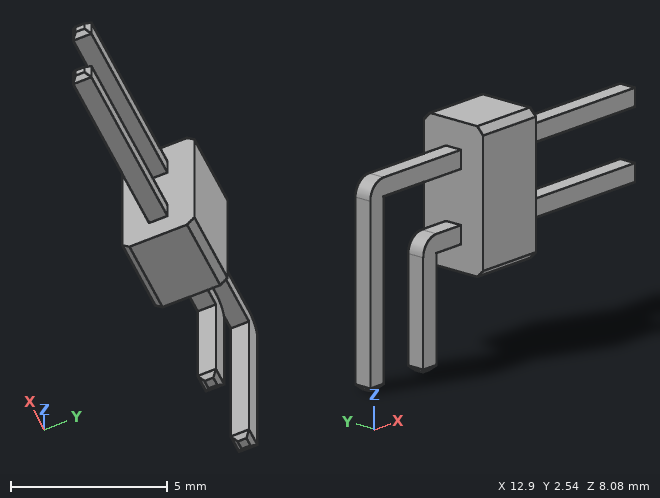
import cadquery as cq

length = 12.9
height = 8.08
pitch = 2.54
pin_count = 2
pin_width = 0.65
tip_chamfer = 0.17
block_start = 4.36
block_chamfer = 0.26

block_height = pin_count * pitch
block_bottom = height - block_height


def make_block():
    """Insulating block with its long edges along X chamfered."""
    block = cq.Workplane("XY").box(pitch, pitch, block_height, centered=(False, True, False))
    block = block.edges("|X").chamfer(block_chamfer)
    return block.translate((block_start, 0, block_bottom))


def make_pin(index):
    """Right-angle pin, counted from the outermost (top) one."""
    tail_x = index * pitch
    axis_z = height - (index + 0.5) * pitch
    top_z = axis_z + pin_width / 2
    pin = (
        cq.Workplane("XY")
        .box(length - tail_x, pin_width, top_z, centered=(False, True, False))
        .translate((tail_x, 0, 0))
    )
    inside = (
        cq.Workplane("XY")
        .box(length, pin_width, top_z - pin_width, centered=(False, True, False))
        .translate((tail_x + pin_width, 0, 0))
    )
    pin = pin.cut(inside)
    pin = pin.faces("<X").edges(">Z").fillet(pin_width)
    return pin.faces("<Z or >X").chamfer(tip_chamfer)


result = make_block()
for pin_index in range(pin_count):
    result = result.union(make_pin(pin_index))